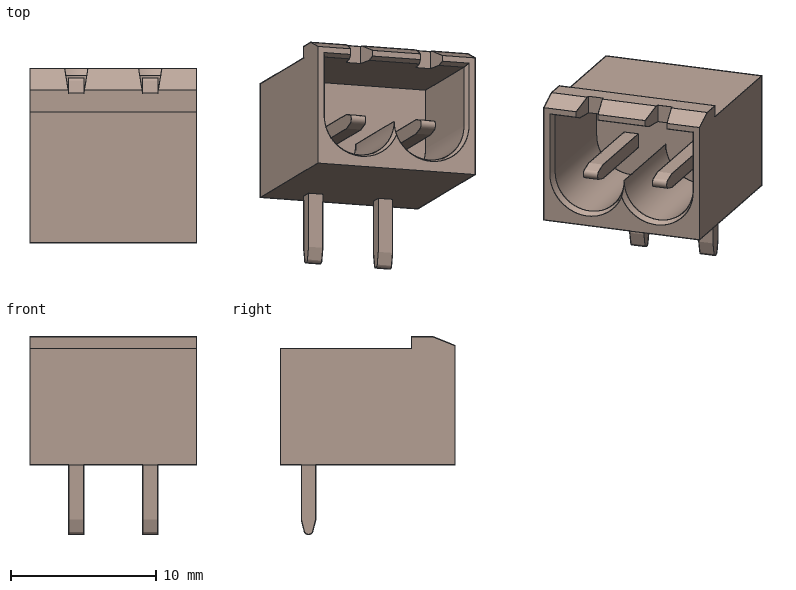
import cadquery as cq


POLE_COUNT = 2
PITCH = 5.08
POLE_XS = [(i - (POLE_COUNT - 1) / 2) * PITCH for i in range(POLE_COUNT)]

WIDTH = 11.46
DEPTH = 12.0
DECK_Z = 8.0
RIDGE_HEIGHT = 0.8
RIDGE_DEPTH = 3.0
RIDGE_BEVEL_DEPTH = 1.5
RIDGE_BEVEL_DROP = 0.6
RIDGE_Z = DECK_Z + RIDGE_HEIGHT
REAR_Y = -DEPTH / 2
MATING_Y = DEPTH / 2

CAVITY_DEPTH = 8.5
CAVITY_ROOF_Z = 7.6
TROUGH_RADIUS = PITCH / 2
FLOOR_THICKNESS = 0.9
TROUGH_AXIS_Z = FLOOR_THICKNESS + TROUGH_RADIUS
MOUTH_DEPTH = 0.5
MOUTH_FLARE = 0.2

SLOT_MOUTH_WIDTH = 1.6
SLOT_END_WIDTH = 1.05
SLOT_DEPTH = 1.7

PIN_WIDTH = 1.05
PIN_THICKNESS = 1.0
PIN_LEG_Y = REAR_Y + 1.93
PIN_LEG_LENGTH = 4.8
PIN_SETBACK = 0.67
PIN_AXIS_Z = TROUGH_AXIS_Z
TIP_TAPER_LENGTH = 0.85
TIP_THICKNESS = 0.57
TIP_ROUND_HEIGHT = 0.17


def housing_block():
    """Side outline of the housing, with the bevelled ridge above the mating face."""
    return (
        cq.Workplane("YZ", origin=(-WIDTH / 2, 0, 0))
        .moveTo(REAR_Y, 0)
        .lineTo(MATING_Y, 0)
        .lineTo(MATING_Y, RIDGE_Z - RIDGE_BEVEL_DROP)
        .lineTo(MATING_Y - RIDGE_BEVEL_DEPTH, RIDGE_Z)
        .lineTo(MATING_Y - RIDGE_DEPTH, RIDGE_Z)
        .lineTo(MATING_Y - RIDGE_DEPTH, DECK_Z)
        .lineTo(REAR_Y, DECK_Z)
        .close()
        .extrude(WIDTH)
    )


def pole_cavity(x):
    """Cavity of one pole: the trough, the space above it and the flared mouth."""

    def section(growth, y):
        half_width = TROUGH_RADIUS + growth
        return (
            cq.Workplane("XZ", origin=(x, y, 0))
            .moveTo(-half_width, CAVITY_ROOF_Z + growth)
            .lineTo(-half_width, TROUGH_AXIS_Z)
            .threePointArc((0, TROUGH_AXIS_Z - half_width), (half_width, TROUGH_AXIS_Z))
            .lineTo(half_width, CAVITY_ROOF_Z + growth)
            .close()
        )

    mouth_y = MATING_Y - MOUTH_DEPTH
    straight = section(0, MATING_Y).extrude(CAVITY_DEPTH)
    narrow_end = section(0, mouth_y).wires().val()
    wide_end = section(MOUTH_FLARE, MATING_Y).wires().val()
    mouth = cq.Workplane(cq.Solid.makeLoft([narrow_end, wide_end], True))
    return straight.union(mouth)


def keying_slot(x):
    """Slot that narrows away from the mating face, open from the cavity upwards."""
    slot_bottom_z = TROUGH_AXIS_Z
    return (
        cq.Workplane("XY", origin=(x, MATING_Y, slot_bottom_z))
        .moveTo(-SLOT_MOUTH_WIDTH / 2, 0)
        .lineTo(SLOT_MOUTH_WIDTH / 2, 0)
        .lineTo(SLOT_END_WIDTH / 2, -SLOT_DEPTH)
        .lineTo(-SLOT_END_WIDTH / 2, -SLOT_DEPTH)
        .close()
        .extrude(RIDGE_Z - slot_bottom_z)
    )


def pin(x):
    """Right-angle pin with a leg below the housing and a contact in the cavity."""
    half = PIN_THICKNESS / 2
    half_tip = TIP_THICKNESS / 2
    leg_end_z = -PIN_LEG_LENGTH
    leg_round_z = leg_end_z + TIP_ROUND_HEIGHT
    leg_taper_z = leg_round_z + TIP_TAPER_LENGTH
    contact_end_y = MATING_Y - PIN_SETBACK
    contact_round_y = contact_end_y - TIP_ROUND_HEIGHT
    contact_taper_y = contact_round_y - TIP_TAPER_LENGTH
    return (
        cq.Workplane("YZ", origin=(x - PIN_WIDTH / 2, 0, 0))
        .moveTo(PIN_LEG_Y - half_tip, leg_round_z)
        .threePointArc((PIN_LEG_Y, leg_end_z), (PIN_LEG_Y + half_tip, leg_round_z))
        .lineTo(PIN_LEG_Y + half, leg_taper_z)
        .lineTo(PIN_LEG_Y + half, PIN_AXIS_Z - half)
        .lineTo(contact_taper_y, PIN_AXIS_Z - half)
        .lineTo(contact_round_y, PIN_AXIS_Z - half_tip)
        .threePointArc((contact_end_y, PIN_AXIS_Z), (contact_round_y, PIN_AXIS_Z + half_tip))
        .lineTo(contact_taper_y, PIN_AXIS_Z + half)
        .lineTo(PIN_LEG_Y - half, PIN_AXIS_Z + half)
        .lineTo(PIN_LEG_Y - half, leg_taper_z)
        .close()
        .extrude(PIN_WIDTH)
    )


result = housing_block()
for pole_x in POLE_XS:
    result = result.cut(pole_cavity(pole_x)).cut(keying_slot(pole_x))
for pole_x in POLE_XS:
    result = result.union(pin(pole_x))